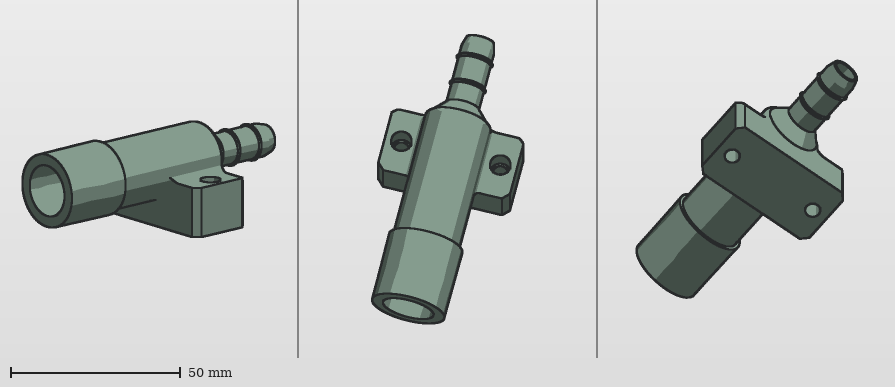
import cadquery as cq
import math

LENGTH = 86.0

SOCKET_LENGTH = 21.0
SOCKET_MOUTH_RADIUS = 11.0
SOCKET_SHOULDER_RADIUS = 11.2

BODY_RADIUS = 20.0 / 2
BODY_END = 61.0
CONE_BASE_RADIUS = 8.6
NOZZLE_RADIUS = 5.0
NOZZLE_LENGTH = 21.0
NOZZLE_START = LENGTH - NOZZLE_LENGTH
TIP_RADIUS = 4.2
TIP_TAPER = 2.8

RIDGE_RADIUS = 5.5
RIDGE_HALF_WIDTH = 0.5
RIDGE_OFFSETS_FROM_TIP = (6.5, 14.9)

BORE_MOUTH_RADIUS = 15.4 / 2
BORE_RADIUS = 15.05 / 2
NOZZLE_BORE_RADIUS = 7.0 / 2

BLOCK_WIDTH = 40.0
BLOCK_DEPTH = 20.0
BLOCK_HEIGHT = 15.05
BLOCK_START = BODY_END - BLOCK_DEPTH
BLOCK_BOTTOM = -18.0
BLOCK_TOP = BLOCK_BOTTOM + BLOCK_HEIGHT
CORNER_CHAMFER = 2.0
BLEND_RADIUS = 2.0
BLEND_START = BLOCK_START - BLEND_RADIUS

SCREW_SPACING = 30.0
SCREW_RADIUS = 4.5 / 2
HEAD_RADIUS = 6.0 / 2
HEAD_DEPTH = BLOCK_HEIGHT / 2


def revolve_about_y(profile):
    return profile.close().revolve(360, (0, 0, 0), (0, 1, 0))


def prism(wire, start, end):
    """Extrude a closed XZ outline from y = start to y = end."""
    return wire.extrude(start - end).translate((0, start, 0))


def make_section():
    """Outline of block and tube, blended where the block top meets the tube."""
    half_width = BLOCK_WIDTH / 2
    center_z = BLOCK_TOP + BLEND_RADIUS
    center_distance = BODY_RADIUS + BLEND_RADIUS
    center_x = math.sqrt(center_distance**2 - center_z**2)
    tangent_x = center_x * BODY_RADIUS / center_distance
    tangent_z = center_z * BODY_RADIUS / center_distance
    mid_angle = (math.atan2(-center_z, -center_x) % (2 * math.pi) + 1.5 * math.pi) / 2
    mid_x = center_x + BLEND_RADIUS * math.cos(mid_angle)
    mid_z = center_z + BLEND_RADIUS * math.sin(mid_angle)
    return (
        cq.Workplane("XZ")
        .moveTo(-half_width, BLOCK_BOTTOM)
        .lineTo(half_width, BLOCK_BOTTOM)
        .lineTo(half_width, BLOCK_TOP)
        .lineTo(center_x, BLOCK_TOP)
        .threePointArc((mid_x, mid_z), (tangent_x, tangent_z))
        .threePointArc((0, BODY_RADIUS), (-tangent_x, tangent_z))
        .threePointArc((-mid_x, mid_z), (-center_x, BLOCK_TOP))
        .lineTo(-half_width, BLOCK_TOP)
        .close()
    )


def make_saddle():
    """Block merged with the tube, with a rounded upper edge at its nozzle end."""
    saddle = prism(make_section(), BLOCK_START, BODY_END)
    upper_edges = cq.selectors.BoxSelector(
        (-BLOCK_WIDTH, BODY_END - 0.1, BLOCK_TOP - 0.1),
        (BLOCK_WIDTH, BODY_END + 0.1, BODY_RADIUS + 0.1),
    )
    saddle = saddle.edges(upper_edges).fillet(BLEND_RADIUS)
    chamfered_plan = (
        cq.Workplane("XY")
        .box(BLOCK_WIDTH, BLOCK_DEPTH, 2 * LENGTH)
        .edges("|Z")
        .chamfer(CORNER_CHAMFER)
        .translate((0, (BLOCK_START + BODY_END) / 2, 0))
    )
    return saddle.intersect(chamfered_plan)


def make_rear_blend():
    """Flare from the tube onto the block's rear face, trimmed to the block outline."""
    flare_radius = BODY_RADIUS + BLEND_RADIUS
    arc_inset = BLEND_RADIUS * math.sqrt(0.5)
    flare = revolve_about_y(
        cq.Workplane("XY")
        .moveTo(0, BLEND_START)
        .lineTo(BODY_RADIUS, BLEND_START)
        .threePointArc(
            (flare_radius - arc_inset, BLEND_START + arc_inset), (flare_radius, BLOCK_START)
        )
        .lineTo(0, BLOCK_START)
    )
    return flare.intersect(prism(make_section(), BLEND_START, BLOCK_START))


def make_tube():
    """Socket, straight tube up to the rear blend, cone and nozzle."""
    socket_and_body = revolve_about_y(
        cq.Workplane("XY")
        .lineTo(SOCKET_MOUTH_RADIUS, 0)
        .lineTo(SOCKET_SHOULDER_RADIUS, SOCKET_LENGTH)
        .lineTo(BODY_RADIUS, SOCKET_LENGTH)
        .lineTo(BODY_RADIUS, BLEND_START)
        .lineTo(0, BLEND_START)
    )
    cone_slope = (CONE_BASE_RADIUS - NOZZLE_RADIUS) / (NOZZLE_START - BODY_END)
    cone_start = BODY_END - BLEND_RADIUS / 4
    cone_start_radius = NOZZLE_RADIUS + cone_slope * (NOZZLE_START - cone_start)
    nozzle = revolve_about_y(
        cq.Workplane("XY")
        .moveTo(0, cone_start)
        .lineTo(cone_start_radius, cone_start)
        .lineTo(NOZZLE_RADIUS, NOZZLE_START)
        .lineTo(NOZZLE_RADIUS, LENGTH - TIP_TAPER)
        .lineTo(TIP_RADIUS, LENGTH)
        .lineTo(0, LENGTH)
    )
    return socket_and_body.union(nozzle)


def make_ridge(offset_from_tip):
    y = LENGTH - offset_from_tip
    return revolve_about_y(
        cq.Workplane("XY")
        .moveTo(0, y - RIDGE_HALF_WIDTH)
        .lineTo(NOZZLE_RADIUS, y - RIDGE_HALF_WIDTH)
        .lineTo(RIDGE_RADIUS, y)
        .lineTo(NOZZLE_RADIUS, y + RIDGE_HALF_WIDTH)
        .lineTo(0, y + RIDGE_HALF_WIDTH)
    )


def make_bore():
    return revolve_about_y(
        cq.Workplane("XY")
        .lineTo(BORE_MOUTH_RADIUS, 0)
        .lineTo(BORE_RADIUS, SOCKET_LENGTH)
        .lineTo(BORE_RADIUS, BODY_END)
        .lineTo(NOZZLE_BORE_RADIUS, NOZZLE_START)
        .lineTo(NOZZLE_BORE_RADIUS, LENGTH)
        .lineTo(0, LENGTH)
    )


def make_screw_hole(x):
    """Screw clearance with a head recess that also clears the tube blend above."""
    y = (BLOCK_START + BODY_END) / 2
    shank = cq.Workplane("XY").circle(SCREW_RADIUS).extrude(BLOCK_HEIGHT)
    head = cq.Workplane("XY").circle(HEAD_RADIUS).extrude(BLOCK_HEIGHT)
    hole = shank.union(head.translate((0, 0, BLOCK_HEIGHT - HEAD_DEPTH)))
    return hole.translate((x, y, BLOCK_BOTTOM))


result = make_tube().union(make_saddle()).union(make_rear_blend())
for ridge_offset in RIDGE_OFFSETS_FROM_TIP:
    result = result.union(make_ridge(ridge_offset))
result = result.cut(make_bore())
for side in (-1, 1):
    result = result.cut(make_screw_hole(side * SCREW_SPACING / 2))